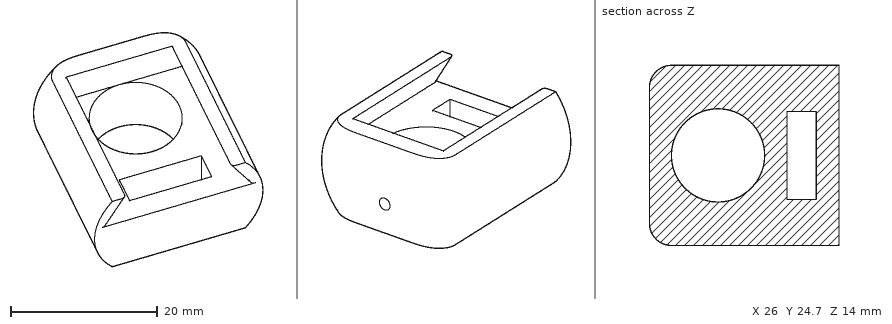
import cadquery as cq
import math

length = 26.0
width = 24.7
height = 14.0
side_radius = 10.75
end_round = 3.05

end_wall = end_round
channel_depth = 4.95
channel_mouth_width = 15.5
flank_angle = 30.0
mouth_corner_round = 0.52

bore_diameter = 12.75
slot_length = 3.98
slot_width = 12.0
slot_end_margin = 3.15

dimple_radius = 0.9
dimple_depth = 0.9
dimple_z = -2.47

top_z = height / 2
floor_z = top_z - channel_depth


def make_body():
    """Stadium-shaped bar with one rounded end, trimmed flat above and below."""
    bar = (
        cq.Workplane("YZ")
        .slot2D(width, 2 * side_radius)
        .extrude(length)
        .faces("<X")
        .edges()
        .fillet(end_round)
    )
    trim = cq.Workplane("XY").box(length, width, height).translate((length / 2, 0, 0))
    return bar.intersect(trim)


def make_channel():
    """Trapezoidal channel that widens towards its floor."""
    mouth_half = channel_mouth_width / 2
    floor_half = mouth_half + channel_depth * math.tan(math.radians(flank_angle))
    return (
        cq.Workplane("YZ", origin=(end_wall, 0, 0))
        .moveTo(-mouth_half, top_z)
        .lineTo(-floor_half, floor_z)
        .lineTo(floor_half, floor_z)
        .lineTo(mouth_half, top_z)
        .close()
        .extrude(length - end_wall)
    )


def round_mouth_corners(part):
    """Round the two sloping channel edges on the open +X end face."""
    lips = part.faces(">X").edges("%LINE").edges("not #Z").edges("not #Y")
    return lips.fillet(mouth_corner_round)


def make_floor_openings():
    """Round bore touching the end wall and a rectangular slot near the open end."""
    bore_x = end_wall + bore_diameter / 2
    slot_x = length - slot_end_margin - slot_length / 2
    bore = cq.Workplane("XY").center(bore_x, 0).circle(bore_diameter / 2).extrude(height, both=True)
    slot = cq.Workplane("XY").center(slot_x, 0).rect(slot_length, slot_width).extrude(height, both=True)
    return bore.union(slot)


def make_dimple():
    """Cone with its base on the closed end and its tip inside the wall."""
    cone = cq.Solid.makeCone(
        dimple_radius, 0, dimple_depth, cq.Vector(0, 0, dimple_z), cq.Vector(1, 0, 0)
    )
    return cq.Workplane(obj=cone)


channelled_body = round_mouth_corners(make_body().cut(make_channel()))
result = channelled_body.cut(make_floor_openings()).cut(make_dimple())